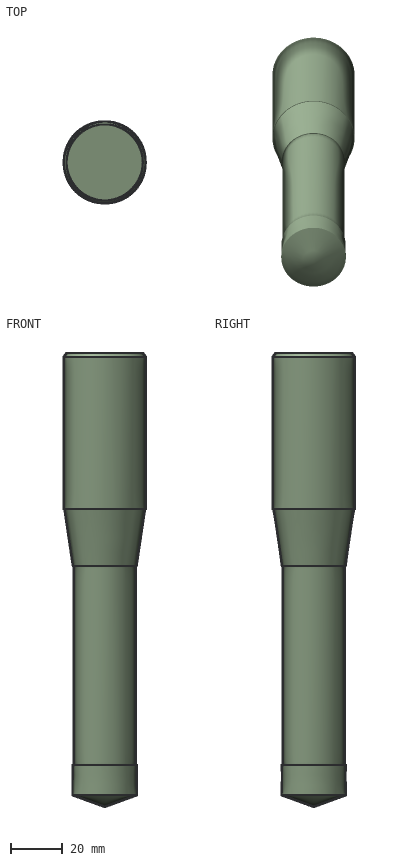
import cadquery as cq
import math

overall_length = 175.49
shank_diameter = 31.75
shank_length = 60.3
shank_chamfer_length = 1.6
shank_chamfer_depth = 1.15
taper_large_diameter = 31.25
taper_small_diameter = 24.65
taper_length = 22.15
neck_diameter = 24.0
tip_diameter = 25.0
tip_rear_diameter = 24.8
tip_land_length = 11.6
point_angle = 140.0

point_height = tip_diameter / 2 / math.tan(math.radians(point_angle / 2))
tip_top = point_height + tip_land_length
shank_bottom = overall_length - shank_length
neck_top = shank_bottom - taper_length


def make_tip():
    """Drill tip: a conical point below a land that narrows slightly towards the holder."""
    profile = (
        cq.Workplane("XZ")
        .moveTo(0, 0)
        .lineTo(tip_diameter / 2, point_height)
        .lineTo(tip_rear_diameter / 2, tip_top)
        .lineTo(0, tip_top)
        .close()
    )
    return profile.revolve(360, (0, 0), (0, 1))


def make_holder():
    """Holder: slim neck, tapered transition and chamfered clamping shank, seated on the tip."""
    profile = (
        cq.Workplane("XZ")
        .moveTo(0, tip_top)
        .lineTo(neck_diameter / 2, tip_top)
        .lineTo(neck_diameter / 2, neck_top)
        .lineTo(taper_small_diameter / 2, neck_top)
        .lineTo(taper_large_diameter / 2, shank_bottom)
        .lineTo(shank_diameter / 2, shank_bottom)
        .lineTo(shank_diameter / 2, overall_length - shank_chamfer_length)
        .lineTo(shank_diameter / 2 - shank_chamfer_depth, overall_length)
        .lineTo(0, overall_length)
        .close()
    )
    return profile.revolve(360, (0, 0), (0, 1))


tip = make_tip()
holder = make_holder()

result = cq.Compound.makeCompound([tip.val(), holder.val()])